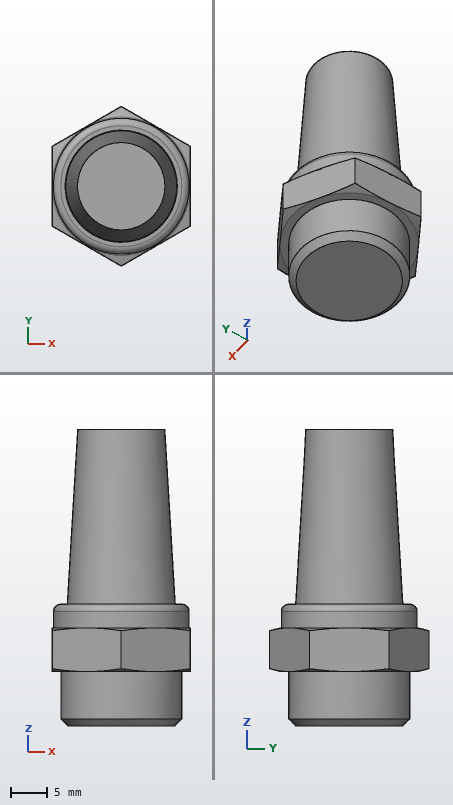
import cadquery as cq
import math

TOTAL_HEIGHT = 40.8
SHANK_HEIGHT = 7.5
HEX_HEIGHT = 6.0
COLLAR_HEIGHT = 3.25

SHANK_DIAMETER = 16.65
SHANK_CHAMFER = 1.0
HEX_ACROSS_FLATS = 19.0
HEX_CHAMFER_ANGLE = 15.0
COLLAR_DIAMETER = 18.7
COLLAR_FILLET = 1.0

PLUG_TOP_DIAMETER = 12.0
PLUG_RIM_DIAMETER = 14.85
SOCKET_DIAMETER = 15.42
SOCKET_DEPTH = 3.25

hex_top = SHANK_HEIGHT + HEX_HEIGHT
collar_top = hex_top + COLLAR_HEIGHT
socket_floor = collar_top - SOCKET_DEPTH
hex_across_corners = HEX_ACROSS_FLATS / math.cos(math.radians(30))


def make_shank():
    shank = cq.Workplane("XY").circle(SHANK_DIAMETER / 2).extrude(SHANK_HEIGHT)
    return shank.faces("<Z").chamfer(SHANK_CHAMFER)


def make_hex():
    """Hexagon with corners on the Y axis, its corners turned off at both ends."""
    prism = (
        cq.Workplane("XY", origin=(0, 0, SHANK_HEIGHT))
        .polygon(6, hex_across_corners)
        .extrude(HEX_HEIGHT)
        .rotate((0, 0, 0), (0, 0, 1), 30)
    )
    flat_radius = HEX_ACROSS_FLATS / 2
    corner_radius = hex_across_corners / 2
    corner_drop = (corner_radius - flat_radius) * math.tan(math.radians(HEX_CHAMFER_ANGLE))
    turned_envelope = (
        cq.Workplane("XZ")
        .moveTo(0, SHANK_HEIGHT)
        .lineTo(flat_radius, SHANK_HEIGHT)
        .lineTo(corner_radius, SHANK_HEIGHT + corner_drop)
        .lineTo(corner_radius, hex_top - corner_drop)
        .lineTo(flat_radius, hex_top)
        .lineTo(0, hex_top)
        .close()
        .revolve(360, (0, 0, 0), (0, 1, 0))
    )
    return prism.intersect(turned_envelope)


def make_collar():
    collar = (
        cq.Workplane("XY", origin=(0, 0, hex_top))
        .circle(COLLAR_DIAMETER / 2)
        .extrude(COLLAR_HEIGHT)
    )
    return collar.faces(">Z").edges().fillet(COLLAR_FILLET)


def make_fitting():
    socket = (
        cq.Workplane("XY", origin=(0, 0, socket_floor))
        .circle(SOCKET_DIAMETER / 2)
        .extrude(SOCKET_DEPTH)
    )
    return make_shank().union(make_hex()).union(make_collar()).cut(socket)


def make_plug():
    """Solid cone that stands on the socket floor and keeps one taper to its top."""
    rim_radius = PLUG_RIM_DIAMETER / 2
    top_radius = PLUG_TOP_DIAMETER / 2
    taper = (rim_radius - top_radius) / (TOTAL_HEIGHT - collar_top)
    base_radius = rim_radius + taper * SOCKET_DEPTH
    return (
        cq.Workplane("XZ")
        .moveTo(0, socket_floor)
        .lineTo(base_radius, socket_floor)
        .lineTo(top_radius, TOTAL_HEIGHT)
        .lineTo(0, TOTAL_HEIGHT)
        .close()
        .revolve(360, (0, 0, 0), (0, 1, 0))
    )


fitting = make_fitting()
plug = make_plug()

result = cq.Compound.makeCompound([fitting.val(), plug.val()])